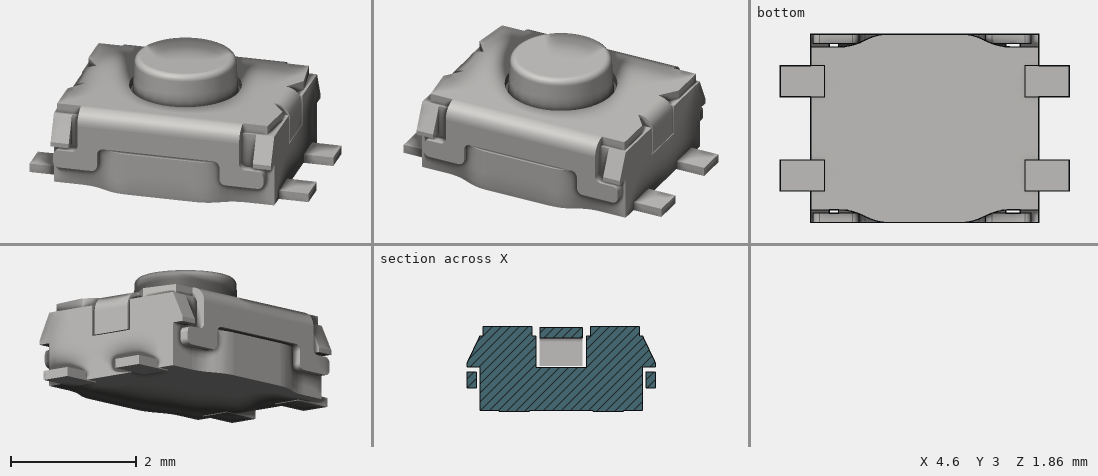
import cadquery as cq
import math


total_length = 4.6
body_length = 3.635
body_width = 3.0
cover_top = 1.355
button_top = 1.86

sheet = 0.15
bend_radius = 0.25
corner_radius = 0.1
clearance = 0.05
cover_shift = -0.04
cover_half_length = 1.735
cover_tip = 1.775
button_hole_radius = 0.895

flange_half_length = 1.335
foot_top = 0.655
foot_bottom = 0.36
arch_half_length = 1.007
arch_top = 0.755

tab_width = 0.69
tab_bottom = 0.72
tab_slot_width = 0.8
notch_root_half_width = 0.365
notch_mouth_half_width = 0.635

body_bottom = 0.015
shelf_height = 0.71
corner_block_length = 0.3
corner_lip_top = 0.78
bulge_flat_half_length = 0.57
bulge_foot_half_length = 1.352
bulge_arc_length = 0.36

button_radius = 0.835
button_taper = 3.5
button_fillet = 0.1

lead_width = 0.495
lead_height = 0.145
lead_spacing = 1.5
lead_inner_end = 1.595

body_top = cover_top - sheet
half_length = body_length / 2
half_width = body_width / 2
core_half_width = half_width - sheet - clearance
plate_half_width = half_width - bend_radius
tab_root = half_length - bend_radius
tab_slot_floor = half_length - sheet - clearance


def box(x_range, y_range, z_range):
    """Axis-aligned box between pairs of limits."""
    limits = (x_range, y_range, z_range)
    sizes = [high - low for low, high in limits]
    corner = tuple(low for low, high in limits)
    return cq.Workplane("XY").box(*sizes, centered=False).translate(corner)


def both_sides(solid, plane):
    """The solid joined with its mirror image."""
    return solid.union(solid.mirror(plane))


def side_bulge():
    """Bulge on the -Y side, with S-shaped flanks of two arcs joined by a tangent line."""
    height = half_width - core_half_width
    line_length = bulge_foot_half_length - bulge_flat_half_length - 2 * bulge_arc_length
    angle = 2 * math.atan(height / (2 * bulge_arc_length + 2 * line_length))
    radius = bulge_arc_length / math.sin(angle)
    arc_rise = radius * (1 - math.cos(angle))
    mid_run = radius * math.sin(angle / 2)
    mid_rise = radius * (1 - math.cos(angle / 2))

    foot_x = bulge_foot_half_length
    flat_x = bulge_flat_half_length
    foot_y = -core_half_width
    flat_y = -half_width
    flank = (
        cq.Workplane("XY").workplane(offset=body_bottom)
        .moveTo(0, 0)
        .lineTo(foot_x, 0)
        .lineTo(foot_x, foot_y)
        .threePointArc((foot_x - mid_run, foot_y - mid_rise),
                       (foot_x - bulge_arc_length, foot_y - arc_rise))
        .lineTo(flat_x + bulge_arc_length, flat_y + arc_rise)
        .threePointArc((flat_x + mid_run, flat_y + mid_rise), (flat_x, flat_y))
        .lineTo(0, flat_y)
        .close()
        .extrude(shelf_height - body_bottom)
    )
    return both_sides(flank, "YZ")


def corner_block():
    """Overhanging corner with a sloped outer face, at -X -Y."""
    return (
        cq.Workplane("YZ").workplane(offset=-half_length)
        .polyline([
            (0, shelf_height),
            (-half_width, shelf_height),
            (-half_width, corner_lip_top),
            (-core_half_width, body_top),
            (0, body_top),
        ])
        .close()
        .extrude(corner_block_length)
    )


def base():
    core = box((-half_length, half_length), (-core_half_width, core_half_width),
               (body_bottom, body_top))
    corners = both_sides(both_sides(corner_block(), "YZ"), "XZ")
    tab_slot = box((tab_slot_floor, half_length), (-tab_slot_width / 2, tab_slot_width / 2),
                   (shelf_height, body_top))
    body = core.union(both_sides(side_bulge(), "XZ")).union(corners)
    return body.cut(tab_slot).cut(tab_slot.mirror("YZ"))


def cover_plate():
    """Flat top of the cover, notched at both ends and pierced for the button."""
    left = cover_shift - cover_half_length
    right = cover_shift + cover_half_length
    upper_half = [
        (right, plate_half_width),
        (cover_tip, notch_mouth_half_width),
        (tab_root, notch_root_half_width),
    ]
    lower_half = [(x, -y) for x, y in reversed(upper_half)]
    left_end = [
        (left, -plate_half_width),
        (left, -notch_mouth_half_width),
        (-tab_root, -notch_root_half_width),
        (-tab_root, notch_root_half_width),
        (left, notch_mouth_half_width),
        (left, plate_half_width),
    ]
    return (
        cq.Workplane("XY").workplane(offset=body_top)
        .polyline(upper_half + lower_half + left_end)
        .close()
        .extrude(sheet)
        .cut(cq.Workplane("XY").circle(button_hole_radius).extrude(cover_top))
    )


def folded_strip(plane, outer, bottom, width):
    """Strip folded down from the plate by a quarter bend, centred on the plane."""
    root = outer - bend_radius
    bend_height = cover_top - bend_radius
    inner_radius = bend_radius - sheet
    diagonal = math.sqrt(0.5)
    return (
        cq.Workplane(plane)
        .moveTo(root, cover_top)
        .threePointArc((root + bend_radius * diagonal, bend_height + bend_radius * diagonal),
                       (outer, bend_height))
        .lineTo(outer, bottom)
        .lineTo(outer - sheet, bottom)
        .lineTo(outer - sheet, bend_height)
        .threePointArc((root + inner_radius * diagonal, bend_height + inner_radius * diagonal),
                       (root, body_top))
        .close()
        .extrude(width / 2, both=True)
    )


def side_flange():
    """Flange on the +Y side: a web with two feet either side of an arch."""
    right_half = [
        (arch_half_length, arch_top),
        (arch_half_length, foot_bottom),
        (cover_half_length, foot_bottom),
        (cover_half_length, foot_top),
        (flange_half_length, foot_top),
        (flange_half_length, cover_top),
    ]
    left_half = [(-x, z) for x, z in reversed(right_half)]
    outline = (
        cq.Workplane("XZ")
        .polyline(right_half + left_half)
        .close()
        .extrude(-half_width)
        .edges("|Y").edges("not >Z")
        .fillet(corner_radius)
    )
    strip = folded_strip("YZ", half_width, foot_bottom, 2 * cover_half_length)
    return strip.intersect(outline).translate((cover_shift, 0, 0))


def cover():
    flanges = both_sides(side_flange(), "XZ")
    tabs = both_sides(folded_strip("XZ", half_length, tab_bottom, tab_width), "YZ")
    return cover_plate().union(flanges).union(tabs)


def button():
    slope = math.tan(math.radians(button_taper))
    foot_radius = button_radius + slope * sheet
    rim_radius = button_radius - slope * (button_top - cover_top)
    return (
        cq.Workplane("XZ")
        .polyline([(0, body_top), (foot_radius, body_top), (rim_radius, button_top), (0, button_top)])
        .close()
        .revolve(360, (0, 0), (0, 1))
        .faces(">Z").edges()
        .fillet(button_fillet)
    )


def leads():
    corner_lead = box((lead_inner_end, total_length / 2),
                      ((lead_spacing - lead_width) / 2, (lead_spacing + lead_width) / 2),
                      (0, lead_height))
    return both_sides(both_sides(corner_lead, "YZ"), "XZ")


result = base().union(cover()).union(button()).union(leads())